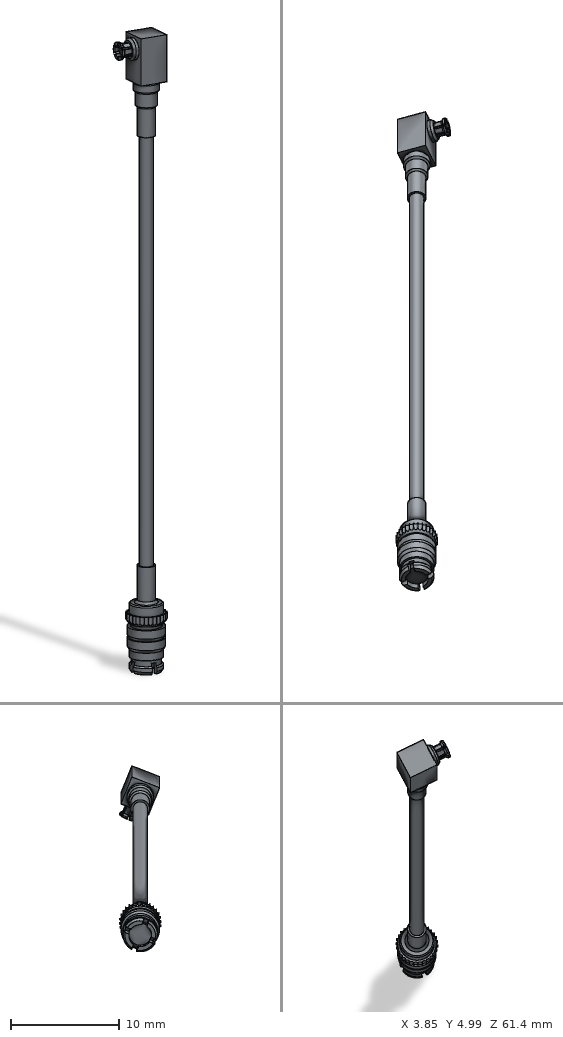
import cadquery as cq
import math

TOTAL_LENGTH = 61.4
TOTAL_DEPTH = 5.0

CABLE_RADIUS = 0.7
SLEEVE_RADIUS = 0.85
LOWER_SLEEVE_BOTTOM = 6.9
LOWER_SLEEVE_TOP = 10.2
UPPER_SLEEVE_BOTTOM = 51.6
UPPER_SLEEVE_TOP = 54.35

BLOCK_WIDTH = 2.75
BLOCK_HEIGHT = 4.55
COLLAR_RADIUS = 1.2
COLLAR_BOTTOM = 55.8
FERRULE_RADIUS = 1.05
FERRULE_CHAMFER = 0.2
SNOUT_DROP = 1.3
SNOUT_BASE_RADIUS = 1.05
SNOUT_BASE_LENGTH = 0.3
SNOUT_SHOULDER_RADIUS = 0.85
SNOUT_SHOULDER_LENGTH = 0.25
SNOUT_NECK_RADIUS = 0.7
SNOUT_LIP_RADIUS = 0.85
SNOUT_LIP_LENGTH = 0.2
SNOUT_LIP_TAPER = 0.2
SNOUT_BORE_RADIUS = 0.55
SNOUT_SLOT_LENGTH = 1.05
SNOUT_SLOT_WIDTH = 0.2
SNOUT_SLOT_PAIRS = 3
CONTACT_RADIUS = 0.25
CONTACT_RECESS = 0.25

BARREL_RADIUS = 1.6
BARREL_TOP = 6.65
BARREL_CHAMFER = 0.1
SHOULDER_RADIUS = 1.1
KNURL_DIAMETER = 3.85
KNURL_TOP = 5.65
KNURL_BOTTOM = 5.15
KNURL_TAPER_BOTTOM = 4.65
KNURL_TEETH = 30
KNURL_DEPTH = 0.17
KNURL_CLEARANCE = 0.05
WAIST_RADIUS = 1.5
BAND_RADIUS = 1.8
BAND_TOP = 4.35
BAND_BOTTOM = 2.45
BAND_TAPER = 0.3
GROOVE_RADIUS = 1.6
GROOVE_TOP = 3.55
GROOVE_BOTTOM = 3.25
SKIRT_BOTTOM = 1.4
FINGER_NECK_RADIUS = 1.4
FINGER_NECK_BOTTOM = 0.8
FINGER_TAPER = 0.1
FINGER_LIP_RADIUS = 1.6
FINGER_CHAMFER = 0.2
FINGER_CHAMFER_HEIGHT = 0.3
FINGER_SLOT_PAIRS = 2
FINGER_SLOT_WIDTH = 0.5
FINGER_SLOT_HEIGHT = 1.1
SOCKET_RADIUS = 1.05
SOCKET_DEPTH = 0.55

KNURL_RADIUS = KNURL_DIAMETER / 2
BLOCK_BOTTOM = TOTAL_LENGTH - BLOCK_HEIGHT
BLOCK_FACE_Y = -BLOCK_WIDTH / 2
SNOUT_TIP_Y = KNURL_RADIUS - TOTAL_DEPTH
SNOUT_LENGTH = BLOCK_FACE_Y - SNOUT_TIP_Y
SNOUT_AXIS_Z = TOTAL_LENGTH - SNOUT_DROP


def cylinder(radius, bottom, top):
    """Upright cylinder on the cable axis."""
    return cq.Workplane("XY").workplane(offset=bottom).circle(radius).extrude(top - bottom)


def turned(profile):
    """Solid of revolution about Z from (radius, z) points, closed along the axis."""
    points = [(0, profile[0][1])] + profile + [(0, profile[-1][1])]
    return cq.Workplane("XZ").polyline(points).close().revolve(360, (0, 0), (0, 1))


def radial_slots(pairs, width, length, reach):
    """Slabs crossing on the Z axis, from z = 0 upward; each one cuts two opposite slots."""
    slab = cq.Workplane("XY").box(2 * reach, width, length, centered=(True, True, False))
    slots = slab
    for index in range(1, pairs):
        slots = slots.union(slab.rotate((0, 0, 0), (0, 0, 1), 180 * index / pairs))
    return slots


def make_sleeve(bottom, top):
    """Tube that fits closely over the cable."""
    return cylinder(SLEEVE_RADIUS, bottom, top).cut(cylinder(CABLE_RADIUS, bottom, top))


def make_snout():
    """Slotted mating end, built upright with its tip at z = 0, then laid along -Y."""
    lip_end = SNOUT_LIP_LENGTH + SNOUT_LIP_TAPER
    base_start = SNOUT_LENGTH - SNOUT_BASE_LENGTH
    snout = turned([
        (SNOUT_LIP_RADIUS, 0),
        (SNOUT_LIP_RADIUS, SNOUT_LIP_LENGTH),
        (SNOUT_NECK_RADIUS, lip_end),
        (SNOUT_NECK_RADIUS, base_start - SNOUT_SHOULDER_LENGTH),
        (SNOUT_SHOULDER_RADIUS, base_start - SNOUT_SHOULDER_LENGTH),
        (SNOUT_BASE_RADIUS, base_start),
        (SNOUT_BASE_RADIUS, SNOUT_LENGTH),
    ])
    slots = radial_slots(SNOUT_SLOT_PAIRS, SNOUT_SLOT_WIDTH, SNOUT_SLOT_LENGTH, SNOUT_LIP_RADIUS)
    snout = snout.cut(slots.rotate((0, 0, 0), (0, 0, 1), 90))
    snout = snout.cut(cylinder(SNOUT_BORE_RADIUS, 0, SNOUT_SLOT_LENGTH))
    snout = snout.union(cylinder(CONTACT_RADIUS, CONTACT_RECESS, SNOUT_LENGTH))
    return snout.rotate((0, 0, 0), (1, 0, 0), -90).translate((0, SNOUT_TIP_Y, SNOUT_AXIS_Z))


def make_elbow_connector():
    block = cq.Workplane("XY").workplane(offset=BLOCK_BOTTOM).rect(BLOCK_WIDTH, BLOCK_WIDTH)
    block = block.extrude(BLOCK_HEIGHT)
    ferrule = turned([
        (FERRULE_RADIUS - FERRULE_CHAMFER, UPPER_SLEEVE_TOP),
        (FERRULE_RADIUS, UPPER_SLEEVE_TOP + FERRULE_CHAMFER),
        (FERRULE_RADIUS, COLLAR_BOTTOM),
        (COLLAR_RADIUS, COLLAR_BOTTOM + FERRULE_CHAMFER),
        (COLLAR_RADIUS, BLOCK_BOTTOM - FERRULE_CHAMFER),
        (COLLAR_RADIUS - FERRULE_CHAMFER, BLOCK_BOTTOM),
    ])
    return block.union(ferrule).union(make_snout())


def on_circle(radius, degrees):
    angle = math.radians(degrees)
    return (radius * math.cos(angle), radius * math.sin(angle))


def make_knurled_ring():
    """Ring with sharp ridges and scalloped grooves, tapered towards its lower end."""
    pitch = 360 / KNURL_TEETH
    outline = cq.Workplane("XY").workplane(offset=KNURL_TAPER_BOTTOM).moveTo(KNURL_RADIUS, 0)
    for tooth in range(KNURL_TEETH):
        floor = on_circle(KNURL_RADIUS - KNURL_DEPTH, (tooth + 0.5) * pitch)
        next_ridge = on_circle(KNURL_RADIUS, (tooth + 1) * pitch)
        outline = outline.threePointArc(floor, next_ridge)
    scalloped = outline.close().extrude(KNURL_TOP - KNURL_TAPER_BOTTOM)
    envelope = turned([
        (BARREL_RADIUS, KNURL_TAPER_BOTTOM),
        (KNURL_RADIUS + KNURL_CLEARANCE, KNURL_BOTTOM),
        (KNURL_RADIUS + KNURL_CLEARANCE, KNURL_TOP),
    ])
    return scalloped.intersect(envelope)


def make_straight_connector():
    lip_top = FINGER_NECK_BOTTOM - FINGER_TAPER
    body = turned([
        (FINGER_LIP_RADIUS - FINGER_CHAMFER, 0),
        (FINGER_LIP_RADIUS, FINGER_CHAMFER_HEIGHT),
        (FINGER_LIP_RADIUS, lip_top),
        (FINGER_NECK_RADIUS, FINGER_NECK_BOTTOM),
        (FINGER_NECK_RADIUS, SKIRT_BOTTOM),
        (GROOVE_RADIUS, SKIRT_BOTTOM),
        (GROOVE_RADIUS, BAND_BOTTOM - BAND_TAPER),
        (BAND_RADIUS, BAND_BOTTOM),
        (BAND_RADIUS, GROOVE_BOTTOM),
        (GROOVE_RADIUS, GROOVE_BOTTOM),
        (BAND_RADIUS, GROOVE_TOP),
        (BAND_RADIUS, BAND_TOP),
        (WAIST_RADIUS, BAND_TOP),
        (WAIST_RADIUS, KNURL_TAPER_BOTTOM),
        (BARREL_RADIUS, KNURL_TAPER_BOTTOM),
        (BARREL_RADIUS, BARREL_TOP - BARREL_CHAMFER),
        (BARREL_RADIUS - BARREL_CHAMFER, BARREL_TOP),
        (SHOULDER_RADIUS, BARREL_TOP),
        (SLEEVE_RADIUS, LOWER_SLEEVE_BOTTOM),
    ])
    core = cylinder(SOCKET_RADIUS, SOCKET_DEPTH, FINGER_SLOT_HEIGHT)
    slots = radial_slots(FINGER_SLOT_PAIRS, FINGER_SLOT_WIDTH, FINGER_SLOT_HEIGHT, FINGER_LIP_RADIUS)
    body = body.cut(slots.cut(core)).cut(cylinder(SOCKET_RADIUS, 0, SOCKET_DEPTH))
    return body.union(make_knurled_ring())


elbow_connector = make_elbow_connector()
straight_connector = make_straight_connector()
cable = cylinder(CABLE_RADIUS, LOWER_SLEEVE_BOTTOM, UPPER_SLEEVE_TOP)
sleeves = [
    make_sleeve(bottom, top).val()
    for bottom, top in (
        (LOWER_SLEEVE_BOTTOM, LOWER_SLEEVE_TOP),
        (UPPER_SLEEVE_BOTTOM, UPPER_SLEEVE_TOP),
    )
]

result = cq.Compound.makeCompound(
    [elbow_connector.val(), straight_connector.val(), cable.val(), *sleeves]
)